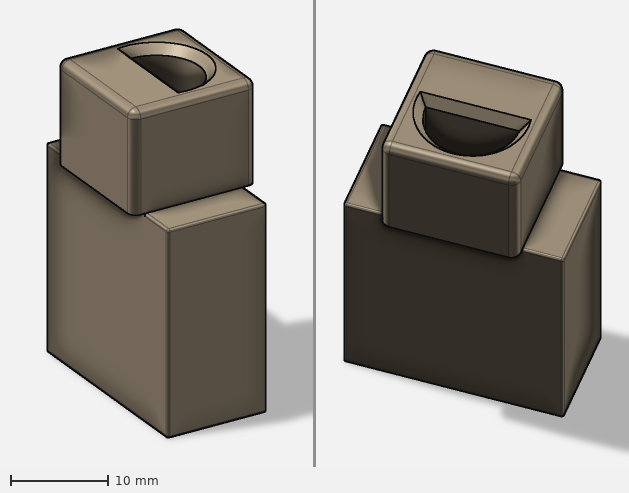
import cadquery as cq

total_height = 36.0
body_width = 24.0
body_depth = body_width / 2
body_height = total_height * 2 / 3
body_fillet = 0.3

head_side = 15.0
head_height = total_height - body_height
head_fillet = 1.0

socket_radius = 5.1
socket_chamfer = 1.0


def make_body():
    """Upright block with slightly rounded edges, left sharp where it meets the head."""
    block = cq.Workplane("XY").box(
        body_width, body_depth, body_height, centered=(True, True, False)
    )
    sharp_neck = (
        cq.Workplane("XY")
        .workplane(offset=body_height - body_fillet)
        .box(head_side, body_depth, body_fillet, centered=(True, True, False))
    )
    return block.edges().fillet(body_fillet).union(sharp_neck)


def make_head():
    """Square block rounded on its upright and top edges, sharp at the bottom."""
    block = (
        cq.Workplane("XY")
        .workplane(offset=body_height)
        .box(head_side, head_side, head_height, centered=(True, True, False))
    )
    return block.edges("|Z or >Z").fillet(head_fillet)


def cut_socket(head):
    """Cut a half cylinder on the +Y side of the axis and chamfer its mouth."""
    socket = (
        cq.Workplane("XY")
        .workplane(offset=body_height)
        .moveTo(-socket_radius, 0)
        .threePointArc((0, socket_radius), (socket_radius, 0))
        .close()
        .extrude(head_height)
    )
    mouth_edges = head.cut(socket).faces(">Z").wires(cq.selectors.AreaNthSelector(0)).edges()
    return mouth_edges.chamfer(socket_chamfer)


result = make_body().union(cut_socket(make_head()))